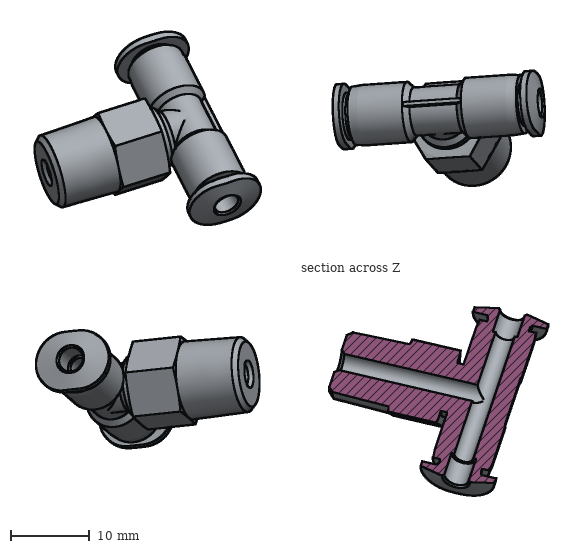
import cadquery as cq
import math

half_length = 13.4
bore_diameter = 2.5

body_radius = 7.7 / 2
cap_radius = 7.5 / 2
body_end = 11.0
cap_start = 10.65
taper_start = 9.72
waist_radius = 3.08
waist_bevel = body_radius - waist_radius
stem_bevel_end = 3.7

web_reach = 3.75
web_thickness = 0.54

neck_radius = 5.57 / 2
neck_flare = 0.21
neck_flare_length = 0.32
flange_back = 11.86
flange_rim_front = 12.67
flange_height = 7.77
flange_width = 9.77
mouth_radius = 3.7 / 2
tube_bore_radius = 3.2 / 2
mouth_depth = mouth_radius - tube_bore_radius
tube_bore_end = taper_start

hex_start = 4.63
hex_end = 11.25
hex_across_flats = 10.0
hex_corner_bevel = 0.1
thread_chamfer_start = 18.67
branch_end = 24.2 - flange_width / 2
thread_root_radius = hex_across_flats / 2
thread_tip_radius = 9.6 / 2
thread_face_radius = 8.33 / 2
countersink_radius = 3.5 / 2
countersink_depth = countersink_radius - bore_diameter / 2


def revolve_x(points):
    """Revolve (x, radius) points about the run axis."""
    return cq.Workplane("XY").polyline(points).close().revolve(360, (0, 0, 0), (1, 0, 0))


def revolve_branch(points):
    """Revolve (radius, distance) points about the branch axis."""
    profile = [(radius, -distance) for radius, distance in points]
    return cq.Workplane("XY").polyline(profile).close().revolve(360, (0, 0, 0), (0, 1, 0))


def half_run():
    """Waist, bevel and sleeve on the +X side."""
    return revolve_x([
        (0, 0),
        (0, waist_radius),
        (body_radius - waist_bevel, waist_radius),
        (body_radius, body_radius),
        (taper_start, body_radius),
        (cap_start, cap_radius),
        (body_end, cap_radius),
        (body_end, 0),
    ])


def release_ring():
    """Flared neck and coned flange trimmed to a stadium outline, on the +X side."""
    neck = revolve_x([
        (body_end, 0),
        (body_end, neck_radius),
        (flange_back - neck_flare_length, neck_radius),
        (flange_back, neck_radius + neck_flare),
        (flange_back, 0),
    ])
    disc = revolve_x([
        (flange_back, 0),
        (flange_back, flange_width / 2),
        (flange_rim_front, flange_width / 2),
        (half_length, mouth_radius),
        (half_length, 0),
    ])
    outline = (
        cq.Workplane("YZ", origin=(flange_back, 0, 0))
        .slot2D(flange_width, flange_height)
        .extrude(half_length - flange_back)
    )
    return neck.union(disc.intersect(outline))


def tube_socket():
    """Bevelled mouth and tube bore on the +X side."""
    return revolve_x([
        (tube_bore_end, 0),
        (tube_bore_end, tube_bore_radius),
        (half_length - mouth_depth, tube_bore_radius),
        (half_length, mouth_radius),
        (half_length, 0),
    ])


def both_ends(solid):
    return solid.union(solid.mirror("YZ"))


def branch_stem():
    return revolve_branch([
        (0, 0),
        (waist_radius, 0),
        (waist_radius, stem_bevel_end - waist_bevel),
        (body_radius, stem_bevel_end),
        (body_radius, hex_start),
        (0, hex_start),
    ])


def hexagon():
    """Hexagon with its corners bevelled at both ends."""
    corner_diameter = hex_across_flats / math.cos(math.radians(30))
    prism = (
        cq.Workplane("XZ", origin=(0, -hex_start, 0))
        .polygon(6, corner_diameter)
        .extrude(hex_end - hex_start)
    )
    corner_radius = corner_diameter / 2
    envelope = revolve_branch([
        (0, hex_start),
        (hex_across_flats / 2, hex_start),
        (corner_radius, hex_start + hex_corner_bevel),
        (corner_radius, hex_end - hex_corner_bevel),
        (hex_across_flats / 2, hex_end),
        (0, hex_end),
    ])
    return prism.intersect(envelope)


def male_end():
    return revolve_branch([
        (0, hex_end),
        (thread_root_radius, hex_end),
        (thread_tip_radius, thread_chamfer_start),
        (thread_face_radius, branch_end),
        (0, branch_end),
    ])


def branch_bore():
    """Bore from the run axis to the countersunk end face."""
    return revolve_branch([
        (0, 0),
        (bore_diameter / 2, 0),
        (bore_diameter / 2, branch_end - countersink_depth),
        (countersink_radius, branch_end),
        (0, branch_end),
    ])


web = cq.Workplane("XY").box(
    2 * body_radius, web_reach, web_thickness, centered=(True, False, True)
)
run_bore = cq.Workplane("YZ").circle(bore_diameter / 2).extrude(half_length, both=True)

result = (
    both_ends(half_run().union(release_ring()))
    .union(web)
    .union(branch_stem())
    .union(hexagon())
    .union(male_end())
    .cut(run_bore)
    .cut(tube_socket())
    .cut(tube_socket().mirror("YZ"))
    .cut(branch_bore())
)